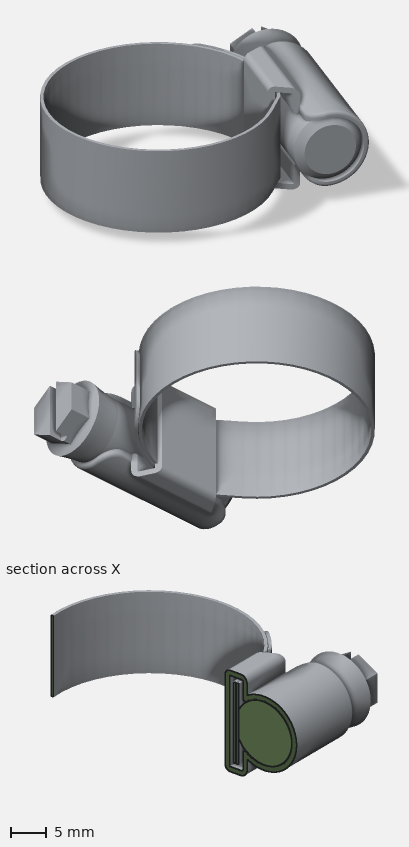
import cadquery as cq
import math


RING_OUTER_R = 16.5
BAND_T = 0.5
BAND_W = 12.8
RING_INNER_R = RING_OUTER_R - BAND_T
TAIL_GAP = 0.1
TAIL_INNER_R = RING_OUTER_R + TAIL_GAP
TAIL_OUTER_R = TAIL_INNER_R + BAND_T
TAIL_END_ANGLE = 150.5
TAIL_CORNER_R = 3.05
HIDDEN_END_ANGLE = 85
LEG_TOP_ANGLE = 71

SCREW_Y = 21.4
SHAFT_R = 5.05
SHAFT_END_X = 11.5
END_CHAMFER_LENGTH = 1.1
END_CHAMFER_DEPTH = 1.22
HEAD_R = 5.7
HEAD_RIM_X = -15.5
DOME_HEIGHT = 0.95
FLARE_END_X = -11.45
FLARE_MID_R = 5.3
HEX_FLATS = 8.0
HEX_FACE_X = -19.1
SLOT_W = 1.3
SLOT_BOTTOM_X = -17.05

HOUSING_R = 5.85
HOUSING_LENGTH = SHAFT_END_X - FLARE_END_X
WALL_BOTTOM_Y = 18.35
WALL_CORNER_R = 2.62
WALL_EDGE_R = 0.52

STRAP_TOP_Y = 18.45
STRAP_BOTTOM_Y = 14.47
STRAP_W = 16.0
FLANGE_T = 0.8
STRAP_T = 0.87
STRAP_BOTTOM_CORNER_R = 0.95
BEND_OUTER_R = 1.22
BEND_INNER_R = 0.2
FLANGE_TIP_R = 0.4
STRAP_TOP_HALF = 7.2
STRAP_BOTTOM_HALF = 5.0


def polar(radius, degrees):
    angle = math.radians(degrees)
    return radius * math.cos(angle), radius * math.sin(angle)


def tangent_point(point, radius):
    """Touch point, clockwise from the given outside point, of its tangent to the ring circle."""
    angle = math.atan2(point[1], point[0]) - math.acos(radius / math.hypot(*point))
    return radius * math.cos(angle), radius * math.sin(angle)


def make_band():
    leg_inner = polar(TAIL_INNER_R, LEG_TOP_ANGLE)
    leg_outer = polar(TAIL_OUTER_R, LEG_TOP_ANGLE)
    tail_middle_angle = (LEG_TOP_ANGLE + TAIL_END_ANGLE) / 2
    outline = (
        cq.Workplane("XY")
        .moveTo(*polar(RING_INNER_R, HIDDEN_END_ANGLE))
        .threePointArc((0, -RING_INNER_R), tangent_point(leg_inner, RING_INNER_R))
        .lineTo(*leg_inner)
        .threePointArc(polar(TAIL_INNER_R, tail_middle_angle), polar(TAIL_INNER_R, TAIL_END_ANGLE))
        .lineTo(*polar(TAIL_OUTER_R, TAIL_END_ANGLE))
        .threePointArc(polar(TAIL_OUTER_R, tail_middle_angle), leg_outer)
        .lineTo(*tangent_point(leg_outer, RING_OUTER_R))
        .threePointArc((0, -RING_OUTER_R), polar(RING_OUTER_R, HIDDEN_END_ANGLE))
        .close()
    )
    band = outline.extrude(BAND_W / 2, both=True)
    tail_tip = polar((TAIL_INNER_R + TAIL_OUTER_R) / 2, TAIL_END_ANGLE)
    for side in (-1, 1):
        corner = cq.selectors.NearestToPointSelector((*tail_tip, side * BAND_W / 2))
        band = band.edges(corner).fillet(TAIL_CORNER_R)
    return band


def make_screw():
    flare_middle_x = (HEAD_RIM_X + FLARE_END_X) / 2
    dome_radius = (HEAD_R**2 + DOME_HEIGHT**2) / (2 * DOME_HEIGHT)
    half_r = HEAD_R / 2
    dome_middle = (HEAD_RIM_X - DOME_HEIGHT + dome_radius - math.sqrt(dome_radius**2 - half_r**2), half_r)
    body = (
        cq.Workplane("XY")
        .moveTo(HEAD_RIM_X - DOME_HEIGHT, 0)
        .threePointArc(dome_middle, (HEAD_RIM_X, HEAD_R))
        .threePointArc((flare_middle_x, FLARE_MID_R), (FLARE_END_X, SHAFT_R))
        .lineTo(SHAFT_END_X - END_CHAMFER_LENGTH, SHAFT_R)
        .lineTo(SHAFT_END_X, SHAFT_R - END_CHAMFER_DEPTH)
        .lineTo(SHAFT_END_X, 0)
        .close()
        .revolve(360, (0, 0, 0), (1, 0, 0))
    )
    hexagon = (
        cq.Workplane("YZ", origin=(HEX_FACE_X, 0, 0))
        .polygon(6, HEX_FLATS, circumscribed=True)
        .extrude(HEAD_RIM_X - HEX_FACE_X)
    )
    slot_depth = SLOT_BOTTOM_X - HEX_FACE_X
    slot = (
        cq.Workplane("XY")
        .box(slot_depth, SLOT_W, 2 * HEAD_R)
        .translate((HEX_FACE_X + slot_depth / 2, 0, 0))
    )
    band_recess = cq.Workplane("XY").circle(TAIL_OUTER_R).extrude(BAND_W / 2, both=True)
    return body.union(hexagon).cut(slot).translate((0, SCREW_Y, 0)).cut(band_recess)


def make_wall():
    """Half-tube over the screw, with round lower corners and rolled outer edges."""
    side_outline = (
        cq.Workplane("XY")
        .moveTo(FLARE_END_X, SCREW_Y + HOUSING_R)
        .lineTo(SHAFT_END_X, SCREW_Y + HOUSING_R)
        .lineTo(SHAFT_END_X, WALL_BOTTOM_Y)
        .lineTo(FLARE_END_X, WALL_BOTTOM_Y)
        .close()
        .extrude(HOUSING_R, both=True)
        .edges("|Z and <Y")
        .fillet(WALL_CORNER_R)
    )
    cylinder = (
        cq.Workplane("YZ", origin=(FLARE_END_X, SCREW_Y, 0))
        .circle(HOUSING_R)
        .extrude(HOUSING_LENGTH)
    )
    blank = cylinder.intersect(side_outline)
    strap_root = blank.intersect(
        cq.Workplane("XY").box(2 * STRAP_TOP_HALF, 4 * HOUSING_R, 2 * HOUSING_R).translate((0, SCREW_Y, 0))
    )
    return blank.faces("<X or >X").edges().fillet(WALL_EDGE_R).union(strap_root)


def make_strap():
    """Closed loop round the band, tapered toward the ring."""
    height = STRAP_TOP_Y - STRAP_BOTTOM_Y
    outside = (
        cq.Workplane("XY")
        .box(2 * STRAP_TOP_HALF, height, STRAP_W)
        .translate((0, STRAP_BOTTOM_Y + height / 2, 0))
        .edges("|X and <Y")
        .fillet(STRAP_BOTTOM_CORNER_R)
        .edges("|X and >Y")
        .fillet(BEND_OUTER_R)
    )
    window_height = height - STRAP_T - FLANGE_T
    window = (
        cq.Workplane("XY")
        .box(2 * STRAP_TOP_HALF, window_height, STRAP_W - 2 * STRAP_T)
        .translate((0, STRAP_BOTTOM_Y + STRAP_T + window_height / 2, 0))
        .edges("|X and >Y")
        .fillet(BEND_INNER_R)
    )
    taper = (
        cq.Workplane("XY")
        .polyline([
            (-STRAP_TOP_HALF, STRAP_TOP_Y),
            (STRAP_TOP_HALF, STRAP_TOP_Y),
            (STRAP_BOTTOM_HALF, STRAP_BOTTOM_Y),
            (-STRAP_BOTTOM_HALF, STRAP_BOTTOM_Y),
        ])
        .close()
        .extrude(STRAP_W, both=True)
    )
    return outside.cut(window).intersect(taper)


def make_housing(band):
    bore = (
        cq.Workplane("YZ", origin=(FLARE_END_X, SCREW_Y, 0))
        .circle(SHAFT_R)
        .extrude(HOUSING_LENGTH)
    )
    housing = make_wall().union(make_strap()).cut(bore)
    flange_bottom_y = STRAP_TOP_Y - FLANGE_T
    tip_z = math.sqrt(SHAFT_R**2 - (SCREW_Y - flange_bottom_y) ** 2)
    for side in (-1, 1):
        tip_edge = cq.selectors.NearestToPointSelector((0, flange_bottom_y, side * tip_z))
        housing = housing.edges("|X").edges(tip_edge).fillet(FLANGE_TIP_R)
    return housing.cut(band)


band = make_band()
screw = make_screw()
housing = make_housing(band)

result = cq.Compound.makeCompound([band.val(), screw.val(), housing.val()])